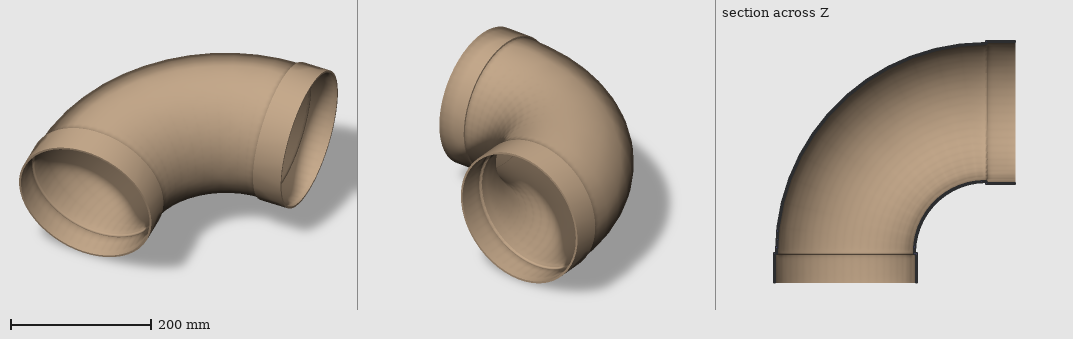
import cadquery as cq

pipe_outer_diameter = 200.0
wall = 3.0
bend_radius = 200.0
bend_angle = 90.0
socket_bore_depth = 40.0

pipe_radius = pipe_outer_diameter / 2
pipe_bore_radius = pipe_radius - wall
socket_bore_radius = pipe_radius
socket_outer_radius = socket_bore_radius + wall
shoulder_radius = socket_bore_radius - pipe_bore_radius
socket_length = shoulder_radius + socket_bore_depth

bend_start = (-bend_radius, 0, 0)
bend_end = (0, bend_radius, 0)


def make_bend():
    """Hollow quarter-torus elbow."""
    section = cq.Workplane("XZ", origin=bend_start).circle(pipe_radius).circle(pipe_bore_radius)
    return section.revolve(bend_angle, (bend_radius, 1, 0), (bend_radius, 0, 0))


def make_socket():
    """Socket along +Z: its wall section turned about Z, with the bend's end at Z = 0."""
    wall_section = (
        cq.Workplane("XZ")
        .moveTo(pipe_bore_radius, 0)
        .lineTo(socket_outer_radius, 0)
        .lineTo(socket_outer_radius, socket_length)
        .lineTo(socket_bore_radius, socket_length)
        .lineTo(socket_bore_radius, shoulder_radius)
        .radiusArc((pipe_bore_radius, 0), -shoulder_radius)
        .close()
    )
    return wall_section.revolve()


socket = make_socket()
front_socket = socket.rotate((0, 0, 0), (1, 0, 0), 90).translate(bend_start)
side_socket = socket.rotate((0, 0, 0), (0, 1, 0), 90).translate(bend_end)

result = make_bend().union(front_socket).union(side_socket)